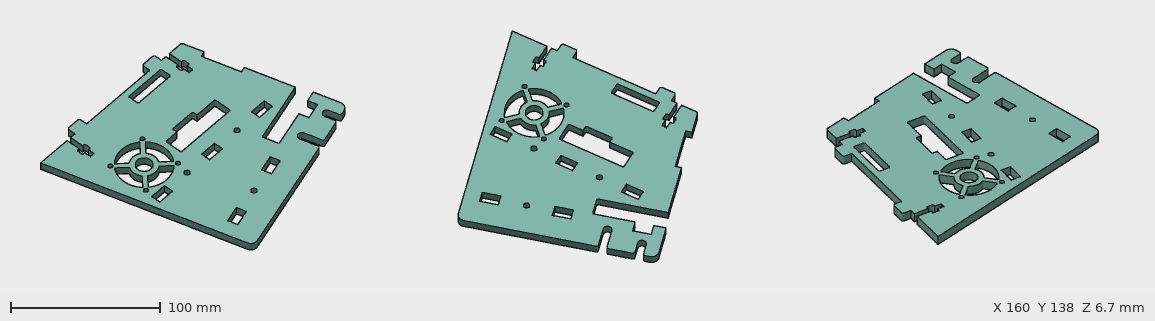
import cadquery as cq
import math

LENGTH = 160.0
HEIGHT = 138.0
THICKNESS = 6.7
LEAN_ANGLE = 15.0
SHOULDER_Y = 136.3
SIDE_CORNER_RADIUS = 5.0
SHOULDER_CORNER_RADIUS = 1.6

STEP_LEFT, STEP_RIGHT = 53.5, 83.5
STEP_DEPTH = 4.3

CHANNEL_LEFT, CHANNEL_RIGHT = 121.8, 134.4
CHANNEL_FLOOR = 87.4
CHANNEL_FLOOR_RADIUS = 1.0

CABLE_SLOTS = [(125.3, 148.0), (100.2, 142.0)]
CABLE_SLOT_WIDTH = 6.0
CABLE_MOUTH_RADIUS = 1.3

SOCKET_PITCH = 50.0
SOCKET_LENGTH = 12.8
SCREW_HOLE_DIAMETER = 4.2
UPRIGHT_SOCKET_WIDTH = 7.5
UPRIGHT_ROW_X = CHANNEL_RIGHT + UPRIGHT_SOCKET_WIDTH / 2
UPRIGHT_ROW_Y = 18.0
UPRIGHT_SOCKET_COUNT = 2
NOTCH_Y = 123.0
LEANING_SOCKET_WIDTH = 7.2
LEANING_ROW_ACROSS = 78.5
LEANING_ROW_ALONG = 34.0
LEANING_SOCKET_COUNT = 3

NUT_SLOT_LOW, NUT_SLOT_HIGH = 28.2, 127.0
NUT_SLOT_DEPTH = 21.0
NUT_SLOT_WIDTH = 3.5
NUT_START = 11.0
NUT_THICKNESS = 5.0
NUT_WIDTH = 7.8
NUT_CORNER_RADIUS = 0.6
TAB_OFFSET = 12.0
TAB_LENGTH = 11.8
TAB_CORNER_RADIUS = 1.6

SIDE_WINDOW_LEFT, SIDE_WINDOW_RIGHT = 5.0, 13.6
SIDE_WINDOW_LOW, SIDE_WINDOW_HIGH = 82.5, 114.9
WINDOW_CORNER_RADIUS = 0.8

WINDOW_LEFT, WINDOW_RIGHT = 49.8, 63.5
WINDOW_LOW, WINDOW_HIGH = 70.0, 119.0
BAY_LEFT = 45.8
BAY_LOW, BAY_HIGH = 81.0, 101.1

FAN_ACROSS, FAN_ALONG = 52.5, 45.1
FAN_OUTER_RADIUS = 20.0
FAN_RING_RADIUS = 10.0
FAN_HUB_RADIUS = 6.0
FAN_SPOKE_WIDTH = 3.7
FAN_VENT_CORNER_RADIUS = 0.6
FAN_SCREW_PITCH = 32.0
FAN_SCREW_DIAMETER = 3.4

UPRIGHT = cq.Plane.XY()
LEANING = UPRIGHT.rotated((0, 0, -LEAN_ANGLE))


def block(plane, left, right, low, high):
    """Full-thickness block between the given bounds in a plane."""
    centre = ((left + right) / 2, (low + high) / 2)
    return cq.Workplane(plane).center(*centre).rect(right - left, high - low).extrude(THICKNESS)


def cylinder(plane, x, y, radius):
    """Full-thickness cylinder centred at a point of a plane."""
    return cq.Workplane(plane).center(x, y).circle(radius).extrude(THICKNESS)


def round_corners(body, plane, points, radius):
    """Round the upright edges that stand at the given points of a plane."""
    edges = []
    for x, y in points:
        middle = plane.toWorldCoords((x, y, THICKNESS / 2)).toTuple()
        edges += body.edges(cq.selectors.NearestToPointSelector(middle)).vals()
    return body.newObject(edges).fillet(radius)


def plate():
    lean_top_x = SHOULDER_Y * math.tan(math.radians(LEAN_ANGLE))
    step_y = SHOULDER_Y - STEP_DEPTH
    outline = [
        (0, 0),
        (LENGTH, 0),
        (LENGTH, HEIGHT),
        (CHANNEL_RIGHT, HEIGHT),
        (CHANNEL_RIGHT, CHANNEL_FLOOR),
        (CHANNEL_LEFT, CHANNEL_FLOOR),
        (CHANNEL_LEFT, SHOULDER_Y),
        (STEP_RIGHT, SHOULDER_Y),
        (STEP_RIGHT, step_y),
        (STEP_LEFT, step_y),
        (STEP_LEFT, SHOULDER_Y),
        (lean_top_x, SHOULDER_Y),
    ]
    body = cq.Workplane(UPRIGHT).polyline(outline).close().extrude(THICKNESS)
    body = round_corners(body, UPRIGHT, [(LENGTH, 0), (LENGTH, HEIGHT)], SIDE_CORNER_RADIUS)
    body = round_corners(body, UPRIGHT, [(lean_top_x, SHOULDER_Y)], SHOULDER_CORNER_RADIUS)
    floor_corners = [(CHANNEL_LEFT, CHANNEL_FLOOR), (CHANNEL_RIGHT, CHANNEL_FLOOR)]
    return round_corners(body, UPRIGHT, floor_corners, CHANNEL_FLOOR_RADIUS)


def cut_cable_slot(body, y, end_x):
    radius = CABLE_SLOT_WIDTH / 2
    low, high = y - radius, y + radius
    body = body.cut(block(UPRIGHT, end_x + radius, LENGTH, low, high))
    body = body.cut(cylinder(UPRIGHT, end_x + radius, y, radius))
    return round_corners(body, UPRIGHT, [(LENGTH, low), (LENGTH, high)], CABLE_MOUTH_RADIUS)


def cut_socket(body, plane, x, y, width):
    half_width, half_length = width / 2, SOCKET_LENGTH / 2
    return body.cut(block(plane, x - half_width, x + half_width, y - half_length, y + half_length))


def cut_socket_row(body, plane, x, first_y, width, count):
    """Cut a row of sockets along y, with a screw hole midway between neighbours."""
    for index in range(count):
        body = cut_socket(body, plane, x, first_y + index * SOCKET_PITCH, width)
    for gap in range(count - 1):
        screw_y = first_y + (gap + 0.5) * SOCKET_PITCH
        body = body.cut(cylinder(plane, x, screw_y, SCREW_HOLE_DIAMETER / 2))
    return body


def add_tab(body, y):
    low, high = y - TAB_LENGTH / 2, y + TAB_LENGTH / 2
    tab = block(LEANING, -THICKNESS, THICKNESS, low, high)
    tab = round_corners(tab, LEANING, [(-THICKNESS, low), (-THICKNESS, high)], TAB_CORNER_RADIUS)
    return body.union(tab)


def cut_nut_slot(body, y):
    """Cut a screw slot into the leaning side, crossed by a pocket for a captive nut."""
    nut_end = NUT_START + NUT_THICKNESS
    low, high = y - NUT_WIDTH / 2, y + NUT_WIDTH / 2
    nut = block(LEANING, NUT_START, nut_end, low, high)
    nut_corners = [(NUT_START, low), (NUT_START, high), (nut_end, low), (nut_end, high)]
    nut = round_corners(nut, LEANING, nut_corners, NUT_CORNER_RADIUS)
    slot = block(LEANING, -THICKNESS, NUT_SLOT_DEPTH, y - NUT_SLOT_WIDTH / 2, y + NUT_SLOT_WIDTH / 2)
    return body.cut(slot).cut(nut)


def cut_windows(body):
    side_window = block(LEANING, SIDE_WINDOW_LEFT, SIDE_WINDOW_RIGHT, SIDE_WINDOW_LOW, SIDE_WINDOW_HIGH)
    middle_window = block(LEANING, WINDOW_LEFT, WINDOW_RIGHT, WINDOW_LOW, WINDOW_HIGH)
    bay = block(LEANING, BAY_LEFT, WINDOW_RIGHT, BAY_LOW, BAY_HIGH)
    for window in (side_window, middle_window, bay):
        body = body.cut(window.edges("|Z").fillet(WINDOW_CORNER_RADIUS))
    return body


def cut_fan_opening(body):
    """Cut four vents round a ring on diagonal spokes, the hub hole and the four screw holes."""
    vents = cylinder(LEANING, FAN_ACROSS, FAN_ALONG, FAN_OUTER_RADIUS)
    vents = vents.cut(cylinder(LEANING, FAN_ACROSS, FAN_ALONG, FAN_RING_RADIUS))
    fan_centre = LEANING.toWorldCoords((FAN_ACROSS, FAN_ALONG, 0))
    for spoke_angle in (45, 135):
        spoke = (
            cq.Workplane(UPRIGHT)
            .rect(2 * FAN_OUTER_RADIUS, FAN_SPOKE_WIDTH)
            .extrude(THICKNESS)
            .rotate((0, 0, 0), (0, 0, 1), spoke_angle - LEAN_ANGLE)
            .translate(fan_centre)
        )
        vents = vents.cut(spoke)
    body = body.cut(vents.edges("|Z").fillet(FAN_VENT_CORNER_RADIUS))
    body = body.cut(cylinder(LEANING, FAN_ACROSS, FAN_ALONG, FAN_HUB_RADIUS))
    for across_side in (-1, 1):
        for along_side in (-1, 1):
            across = FAN_ACROSS + across_side * FAN_SCREW_PITCH / 2
            along = FAN_ALONG + along_side * FAN_SCREW_PITCH / 2
            body = body.cut(cylinder(LEANING, across, along, FAN_SCREW_DIAMETER / 2))
    return body


result = plate()
for slot_y, slot_end_x in CABLE_SLOTS:
    result = cut_cable_slot(result, slot_y, slot_end_x)

result = cut_socket_row(
    result, UPRIGHT, UPRIGHT_ROW_X, UPRIGHT_ROW_Y, UPRIGHT_SOCKET_WIDTH, UPRIGHT_SOCKET_COUNT
)
result = cut_socket(result, UPRIGHT, UPRIGHT_ROW_X, NOTCH_Y, UPRIGHT_SOCKET_WIDTH)
result = cut_socket_row(
    result, LEANING, LEANING_ROW_ACROSS, LEANING_ROW_ALONG, LEANING_SOCKET_WIDTH, LEANING_SOCKET_COUNT
)

result = add_tab(result, NUT_SLOT_LOW + TAB_OFFSET)
result = add_tab(result, NUT_SLOT_HIGH - TAB_OFFSET)
for nut_slot_along in (NUT_SLOT_LOW, NUT_SLOT_HIGH):
    result = cut_nut_slot(result, nut_slot_along)

result = cut_windows(result)
result = cut_fan_opening(result)